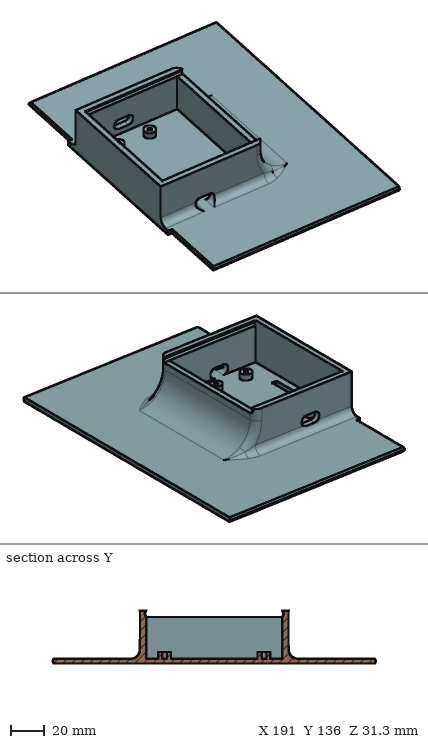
import cadquery as cq
import math

plate_width = 191.0
plate_thickness = 3.0
edge_angle = math.radians(30)
edge_rise = plate_thickness / 2
edge_run = edge_rise * math.tan(edge_angle)
front_step = 2.0
total_depth = 136.0
plate_depth = total_depth - front_step

total_height = 31.3
box_width = 88.0
box_depth = 74.1
wall = 4.0
front_y = -total_depth / 2
back_y = front_y + box_depth
side_x = box_width / 2
cavity_width = box_width - 2 * wall
cavity_depth = box_depth - 2 * wall

back_foot_radius = 20.0
side_foot_radius = 5.0
corner_radius = 5.0
pad_width = 103.5

lid_thickness = 3.6
groove_rise = lid_thickness / 2
groove_run = groove_rise * math.tan(edge_angle)
track_floor = total_height - lid_thickness

boss_diameter = 7.6
boss_hole_diameter = 2.5
boss_height = 4.0
boss_pitch_x = 58.6
boss_pitch_y = 22.7
boss_row_y = front_y + 20.2

slot_reach = (pad_width - cavity_width) / 2
side_slot_length = 13.5
side_slot_height = 7.0
side_slot_y = front_y + 31.7
left_slot_bottom = 7.0
right_slot_bottom = plate_thickness
floor_slot_length = 29.0
floor_slot_width = 3.5
floor_slot_y = front_y + 10.7

tolerance = 0.2


def block(width, depth, height, y, z):
    """Block centred on X whose front bottom edge is at (y, z)."""
    return cq.Workplane().box(width, depth, height, centered=(True, False, False)).translate((0, y, z))


def edges_near(low, high):
    """Selector for edges whose centre lies between two corner points."""
    return cq.selectors.BoxSelector(low, high)


def bevelled_plate():
    """Two tapered halves meeting at the pointed edge, trimmed square at the back."""
    untrimmed_depth = plate_depth + edge_run
    centre_y = front_y + front_step + untrimmed_depth / 2
    middle = cq.Workplane(origin=(0, centre_y, edge_rise)).rect(plate_width, untrimmed_depth)
    upper = middle.extrude(edge_rise, taper=math.degrees(edge_angle))
    lower = upper.mirror("XY", (0, centre_y, edge_rise))
    envelope = block(plate_width, total_depth, plate_thickness, front_y, 0)
    return upper.union(lower).intersect(envelope)


def blended_box():
    """Plate and solid box, joined by the foot fillets."""
    z_low = plate_thickness - tolerance
    z_high = plate_thickness + tolerance
    body = bevelled_plate()
    body = body.union(block(pad_width, box_depth, plate_thickness, front_y, 0))
    body = body.union(block(box_width, box_depth, total_height, front_y, 0))

    back_foot = edges_near((-tolerance, back_y - tolerance, z_low), (tolerance, back_y + tolerance, z_high))
    body = body.edges(back_foot).fillet(back_foot_radius)

    corners = edges_near(
        (-side_x - tolerance, back_y - tolerance, z_high),
        (side_x + tolerance, back_y + tolerance, total_height),
    )
    body = body.edges(corners).edges("|Z").fillet(corner_radius)

    for x in (-side_x, side_x):
        side_foot = edges_near((x - tolerance, front_y, z_low), (x + tolerance, back_y, z_high))
        body = body.edges(side_foot).fillet(side_foot_radius)
    return body


def lid_space():
    """Lid-shaped track with pointed side grooves, open at the back."""
    half = cavity_width / 2
    profile = [
        (-half, track_floor),
        (half, track_floor),
        (half + groove_run, track_floor + groove_rise),
        (half, total_height),
        (-half, total_height),
        (-half - groove_run, track_floor + groove_rise),
    ]
    track_length = back_foot_radius + box_depth - wall
    return cq.Workplane("XZ", origin=(0, front_y + wall, 0)).polyline(profile).close().extrude(-track_length)


def side_slot(x_start, bottom):
    """Rounded opening running along +X from x_start."""
    centre = (x_start, side_slot_y, bottom + side_slot_height / 2)
    return cq.Workplane("YZ", origin=centre).slot2D(side_slot_length, side_slot_height).extrude(slot_reach)


body = blended_box()
body = body.cut(block(cavity_width, cavity_depth, total_height, front_y + wall, plate_thickness))
body = body.cut(lid_space())
body = body.cut(side_slot(-pad_width / 2, left_slot_bottom))
body = body.cut(side_slot(cavity_width / 2, right_slot_bottom))
body = body.cut(block(floor_slot_length, floor_slot_width, plate_thickness, floor_slot_y - floor_slot_width / 2, 0))

boss_centre = (0, boss_row_y + boss_pitch_y / 2, plate_thickness)
bosses = (
    cq.Workplane(origin=boss_centre)
    .rarray(boss_pitch_x, boss_pitch_y, 2, 2)
    .circle(boss_diameter / 2)
    .circle(boss_hole_diameter / 2)
    .extrude(boss_height)
)
result = body.union(bosses)